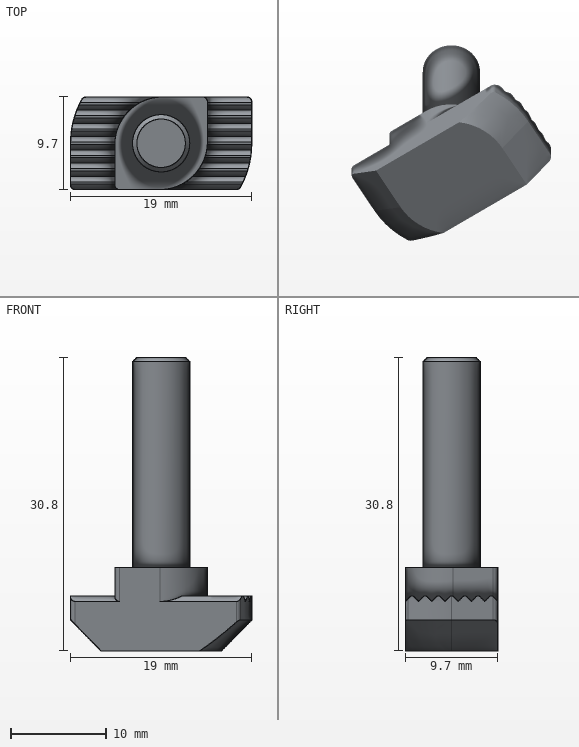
import cadquery as cq
import math

total_height = 30.8
head_length = 19.0
head_width = 9.7
head_height = 5.8
base_length = 12.57
flank_height = 3.3
neck_top = 8.78
neck_arc_radius = 5.0
shank_diameter = 6.0
shank_chamfer = 0.45
corner_radius = 0.5
tooth_count = 7
crest_width = 0.25

half_length = head_length / 2
half_width = head_width / 2
tooth_pitch = head_width / tooth_count
groove_width = tooth_pitch - crest_width
groove_depth = groove_width / 2
groove_bottom = head_height - groove_depth
neck_arc_offset = neck_arc_radius - half_width


def half_head_profile():
    """Half of the head section in XZ, from the axis out to one end."""
    return (
        cq.Workplane("XZ")
        .polyline([
            (0, 0),
            (base_length / 2, 0),
            (half_length, flank_height),
            (half_length, head_height),
            (0, head_height),
        ])
        .close()
    )


def head_outline():
    """Prism of the plan outline: two square and two arc-cut corners, all rounded."""
    arc_end_x = math.sqrt(half_length**2 - half_width**2)
    half_corner_angle = math.asin(half_width / half_length) / 2
    arc_mid = (
        half_length * math.cos(half_corner_angle),
        half_length * math.sin(half_corner_angle),
    )
    prism = (
        cq.Workplane("XY")
        .moveTo(-half_length, -half_width)
        .lineTo(arc_end_x, -half_width)
        .threePointArc((arc_mid[0], -arc_mid[1]), (half_length, 0))
        .lineTo(half_length, half_width)
        .lineTo(-arc_end_x, half_width)
        .threePointArc((-arc_mid[0], arc_mid[1]), (-half_length, 0))
        .close()
        .extrude(head_height)
    )
    outer_corners = prism.edges("|Z").edges(">Y or <Y")
    return outer_corners.fillet(corner_radius)


def make_head():
    """Hammer head: straight flanks on two opposite quadrants, conical on the others."""
    turned = half_head_profile().revolve(360, (0, 0, 0), (0, 1, 0))
    straight = half_head_profile().extrude(-half_width)
    opposite = straight.rotate((0, 0, 0), (0, 0, 1), 180)
    return turned.union(straight).union(opposite).intersect(head_outline())


def cut_serrations(head):
    """V grooves along X, leaving a flat crest on the centre line."""
    for index in range(tooth_count + 1):
        groove_y = -half_width + index * tooth_pitch
        groove = (
            cq.Workplane("YZ", origin=(-half_length, 0, 0))
            .polyline([
                (groove_y - groove_width / 2, head_height),
                (groove_y, groove_bottom),
                (groove_y + groove_width / 2, head_height),
            ])
            .close()
            .extrude(head_length)
        )
        head = head.cut(groove)
    return head


def make_neck():
    """Round neck squared off in the two quadrants that have straight flanks."""
    neck = (
        cq.Workplane("XY", origin=(0, 0, groove_bottom))
        .moveTo(-half_width, -half_width)
        .lineTo(-neck_arc_offset, -half_width)
        .radiusArc((half_width, neck_arc_offset), -neck_arc_radius)
        .lineTo(half_width, half_width)
        .lineTo(neck_arc_offset, half_width)
        .radiusArc((-half_width, -neck_arc_offset), -neck_arc_radius)
        .close()
        .extrude(neck_top - groove_bottom)
    )
    square_corners = neck.edges("|Z").edges("(>Y and >X) or (<Y and <X)")
    return square_corners.fillet(corner_radius)


def make_shank():
    """Plain cylindrical shank with a chamfered tip."""
    return (
        cq.Workplane("XY", origin=(0, 0, neck_top))
        .circle(shank_diameter / 2)
        .extrude(total_height - neck_top)
        .faces(">Z")
        .chamfer(shank_chamfer)
    )


result = cut_serrations(make_head()).union(make_neck()).union(make_shank())